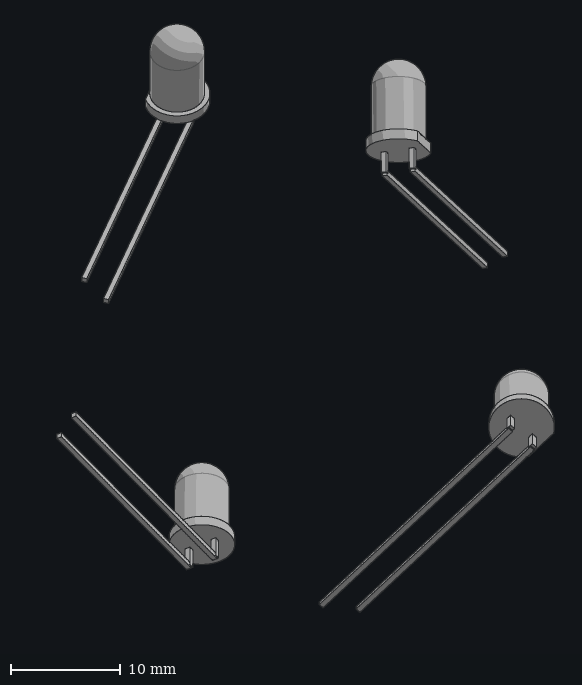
import cadquery as cq

lens_diameter = 5.0
lens_radius = lens_diameter / 2
flange_diameter = 6.0
flange_radius = flange_diameter / 2
flange_height = 0.98
body_height = 8.8
dome_base_height = body_height - lens_radius
flat_distance = lens_radius

lead_width = 0.5
lead_offset = 1.37
leg_length = 2.0
run_bottom = -2.25
overall_length = 28.0
long_run_length = overall_length - flange_radius
lead_length_difference = 2.0
short_run_length = long_run_length - lead_length_difference


def make_led_body():
    """Flange with one flat, cylindrical lens and hemispherical dome, as one solid."""
    flange = cq.Workplane("XY").circle(flange_radius).extrude(flange_height)
    flat_keeper = cq.Workplane("XY").box(
        flat_distance + flange_radius,
        flange_diameter,
        flange_height,
        centered=(False, True, False),
    ).translate((-flat_distance, 0, 0))
    lens = (
        cq.Workplane("XZ")
        .lineTo(lens_radius, 0)
        .lineTo(lens_radius, dome_base_height)
        .radiusArc((0, body_height), -lens_radius)
        .close()
        .revolve(360, (0, 0, 0), (0, 1, 0))
    )
    return flange.intersect(flat_keeper).union(lens)


def make_leg(x):
    """Vertical leg hanging from the flange underside."""
    return (
        cq.Workplane("XY")
        .center(x, 0)
        .rect(lead_width, lead_width)
        .extrude(-leg_length)
    )


def make_run(x, length, leg):
    """Horizontal run starting below the lens axis, notched to fit around the leg's lower end."""
    run = cq.Workplane("XY").box(
        lead_width, length, lead_width, centered=(True, False, False)
    ).translate((x, -length, run_bottom))
    return run.cut(leg)


led_body = make_led_body()
legs = []
runs = []
for lead_x, run_length in ((-lead_offset, short_run_length), (lead_offset, long_run_length)):
    lead_leg = make_leg(lead_x)
    legs.append(lead_leg.val())
    runs.append(make_run(lead_x, run_length, lead_leg).val())

result = cq.Compound.makeCompound([led_body.val(), *legs, *runs])